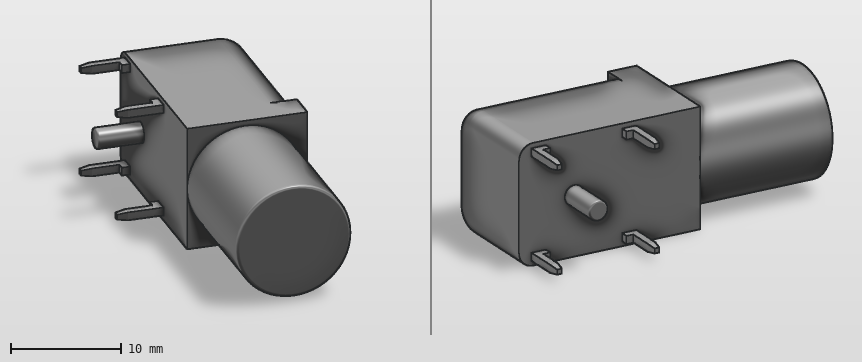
import cadquery as cq


body_length = 19.0
body_depth = 11.5
body_height = 12.0
rounded_length = 16.0
back_edge_radius = 2.5
end_edge_radius = 1.5

barrel_diameter = 11.0
barrel_length = 14.0
barrel_rim_radius = 0.3

reach = 4.4
peg_diameter = 2.0
peg_tip_radius = 0.2
peg_x = 5.8

pin_pitch = 10.2
first_pin_x = 1.7
pin_size = 0.8
pin_tip_size = 0.5
pin_tip_length = 1.0
foot_width = 1.5
foot_thickness = 0.8


def make_housing():
    rounded = cq.Workplane("XY").box(
        rounded_length, body_depth, body_height, centered=(False, False, True)
    )
    rounded = rounded.edges("|X and >Y").fillet(back_edge_radius)
    rounded = rounded.faces("<X").edges("not <Y").fillet(end_edge_radius)
    collar = cq.Workplane("XY").box(
        body_length - rounded_length, body_depth, body_height, centered=(False, False, True)
    )
    return rounded.union(collar.translate((rounded_length, 0, 0)))


def make_barrel():
    barrel = (
        cq.Workplane("YZ", origin=(body_length, barrel_diameter / 2, 0))
        .circle(barrel_diameter / 2)
        .extrude(barrel_length)
    )
    return barrel.faces(">X").edges().fillet(barrel_rim_radius)


def make_peg():
    peg = cq.Workplane("XZ", origin=(peg_x, 0, 0)).circle(peg_diameter / 2).extrude(reach)
    return peg.faces("<Y").edges().fillet(peg_tip_radius)


def make_pin(x, z, foot_direction):
    """Pin centred on (x, z); its foot points along X in foot_direction (+1 or -1)."""
    leg_length = reach - pin_tip_length
    leg = cq.Workplane("XZ", origin=(x, 0, z)).rect(pin_size, pin_size).extrude(leg_length)
    tip = (
        cq.Workplane("XZ", origin=(x, -leg_length, z))
        .rect(pin_size, pin_size)
        .workplane(offset=pin_tip_length)
        .rect(pin_tip_size, pin_tip_size)
        .loft()
    )
    foot_x = x + foot_direction * (foot_width - pin_size) / 2
    foot = cq.Workplane("XZ", origin=(foot_x, 0, z)).rect(foot_width, pin_size).extrude(foot_thickness)
    return leg.union(tip).union(foot)


result = make_housing().union(make_barrel()).union(make_peg())
for pin_z in (-pin_pitch / 2, pin_pitch / 2):
    result = result.union(make_pin(first_pin_x, pin_z, 1))
    result = result.union(make_pin(first_pin_x + pin_pitch, pin_z, -1))